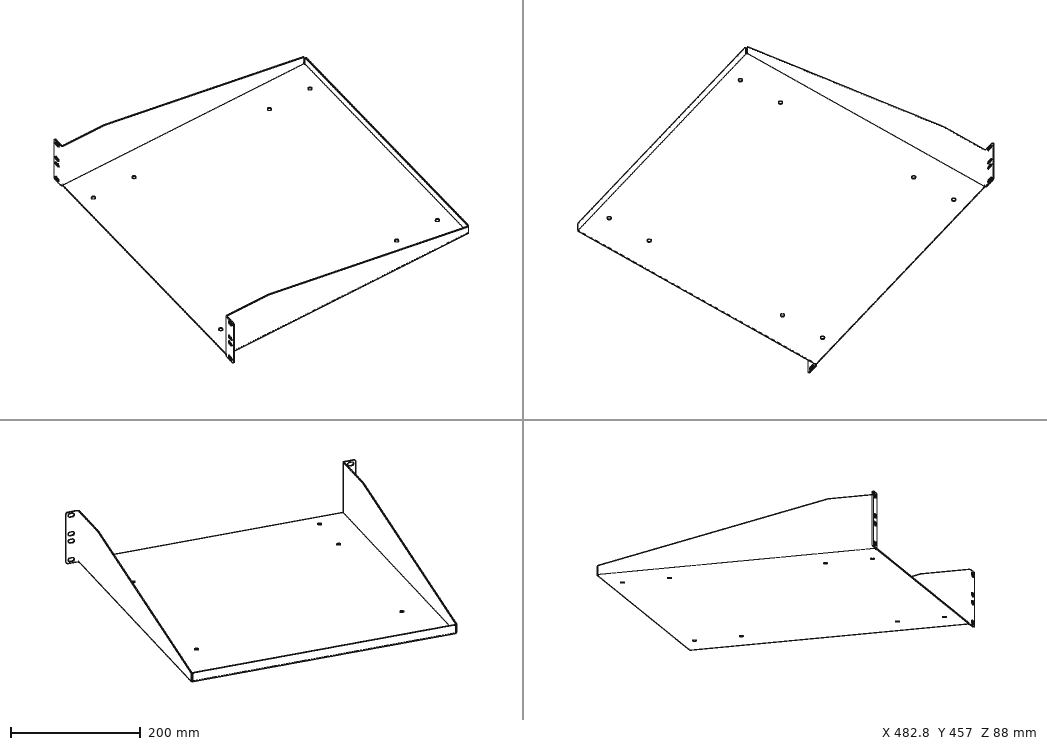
import cadquery as cq
import math

width = 482.8
depth = 457.0
height = 88.0

sheet = 2.0
floor_bend = 2.5
ear_bend = 3.5

tray_width = 443.0
rear_height = 16.0
level_top = 80.5
corner_relief = 2.5
rear_wall_chamfer = 2.0

ear_corner = 3.5
slot_length = 10.0
slot_height = 6.5
slot_spacing_x = 465.5
slot_offsets_z = (6.5, 38.0)

hole_diameter = 6.5
hole_spacing_x = 342.5
hole_offsets_y = (127.0, 203.0)

front = -depth / 2
rear = depth / 2
inner_half_width = tray_width / 2 - sheet


def mirrored_points(spacing_x, center, offsets):
    """Points in two columns, each offset taken on both sides of the center."""
    return [
        (side * spacing_x / 2, center + direction * offset)
        for side in (-1, 1)
        for direction in (-1, 1)
        for offset in offsets
    ]


def make_side_profile():
    """Solid whose outline gives the side walls their sloped top edge."""
    outline = [
        (front, 0),
        (rear, 0),
        (rear, rear_height),
        (rear - corner_relief, rear_height),
        (front + level_top, height),
        (front, height),
    ]
    return cq.Workplane("YZ").polyline(outline).close().extrude(tray_width / 2, both=True)


def make_tray():
    """Floor with bent-up side and rear walls, open at the top and front."""
    tray = (
        cq.Workplane("XY")
        .box(tray_width, depth, height, centered=(True, True, False))
        .edges("<Z and (not <Y)")
        .fillet(floor_bend)
        .intersect(make_side_profile())
    )
    cavity = (
        cq.Workplane("XY", origin=(0, -sheet, sheet))
        .box(2 * inner_half_width, depth, height, centered=(True, True, False))
    )
    front_floor_trim = (
        cq.Workplane("XY", origin=(0, front, 0))
        .box(2 * inner_half_width, 2 * sheet, 2 * height)
    )
    front_wall_trim = (
        cq.Workplane("XY", origin=(0, front, 0))
        .pushPoints([(-tray_width / 2, 0), (tray_width / 2, 0)])
        .box(2 * sheet, 2 * ear_bend, 3 * height)
    )
    reliefs = (
        cq.Workplane("XY")
        .pushPoints([(-tray_width / 2, rear), (tray_width / 2, rear)])
        .rect(2 * corner_relief, 2 * corner_relief)
        .extrude(height)
    )
    return tray.cut(cavity).cut(front_floor_trim).cut(front_wall_trim).cut(reliefs)


def make_rear_wall_clips():
    """Two wedges that chamfer the top corners of the rear wall."""
    wall_end = tray_width / 2 - corner_relief
    clip = (
        cq.Workplane("XZ", origin=(0, rear, 0))
        .polyline([
            (wall_end, rear_height),
            (wall_end - rear_wall_chamfer, rear_height),
            (wall_end, rear_height - rear_wall_chamfer),
        ])
        .close()
        .extrude(sheet)
    )
    return clip.union(clip.mirror("YZ"))


def make_right_ear():
    """Mounting ear bent outward from the front edge of the right side wall."""
    center_x = inner_half_width + ear_bend
    center_y = front + ear_bend
    inner_bend = ear_bend - sheet
    outer_mid = ear_bend * math.sqrt(0.5)
    inner_mid = inner_bend * math.sqrt(0.5)
    return (
        cq.Workplane("XY")
        .moveTo(inner_half_width, center_y)
        .threePointArc((center_x - outer_mid, center_y - outer_mid), (center_x, front))
        .lineTo(width / 2, front)
        .lineTo(width / 2, front + sheet)
        .lineTo(center_x, front + sheet)
        .threePointArc((center_x - inner_mid, center_y - inner_mid), (tray_width / 2, center_y))
        .close()
        .extrude(height)
        .edges("|Y and >X")
        .fillet(ear_corner)
    )


def make_ear_slots():
    """Cutters for the rack mounting slots through both ears."""
    points = mirrored_points(slot_spacing_x, height / 2, slot_offsets_z)
    return (
        cq.Workplane("XZ", origin=(0, front + sheet, 0))
        .pushPoints(points)
        .slot2D(slot_length, slot_height)
        .extrude(sheet)
    )


def make_floor_holes():
    """Cutters for the round holes through the floor."""
    points = mirrored_points(hole_spacing_x, 0, hole_offsets_y)
    return cq.Workplane("XY").pushPoints(points).circle(hole_diameter / 2).extrude(sheet)


right_ear = make_right_ear()
left_ear = right_ear.mirror("YZ")
shelf = make_tray().cut(make_rear_wall_clips()).union(right_ear).union(left_ear)
result = shelf.cut(make_ear_slots()).cut(make_floor_holes())